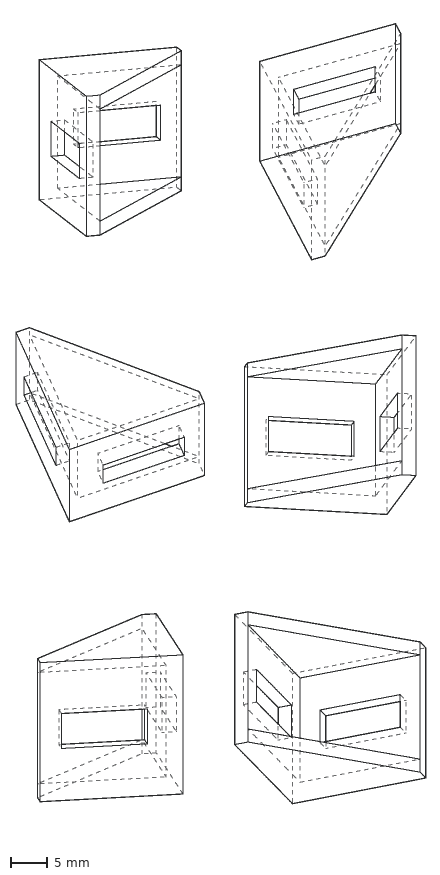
import cadquery as cq

size = 20.0
wall = 2.0
plate = 2.0
slot_length = 12.0
slot_height = 5.0
slot_start = 5.0


def make_body():
    """Square-cornered prism with a diagonal face and blunt tips."""
    outline = [(0, 0), (size, 0), (size, wall), (wall, size), (0, size)]
    return cq.Workplane("XY").polyline(outline).close().extrude(size)


def make_cavity():
    """Triangular space between the walls and plates, open on the diagonal face."""
    return (
        cq.Workplane("XY", origin=(0, 0, plate))
        .polyline([(wall, wall), (size, wall), (size, size), (wall, size)])
        .close()
        .extrude(size - 2 * plate)
    )


def make_slots():
    """One slot through each square wall, centred in height."""
    slot_bottom = (size - slot_height) / 2
    centering = (False, False, False)
    front = cq.Workplane("XY").box(slot_length, wall, slot_height, centered=centering)
    side = cq.Workplane("XY").box(wall, slot_length, slot_height, centered=centering)
    return front.translate((slot_start, 0, slot_bottom)).union(
        side.translate((0, slot_start, slot_bottom))
    )


result = make_body().cut(make_cavity()).cut(make_slots())